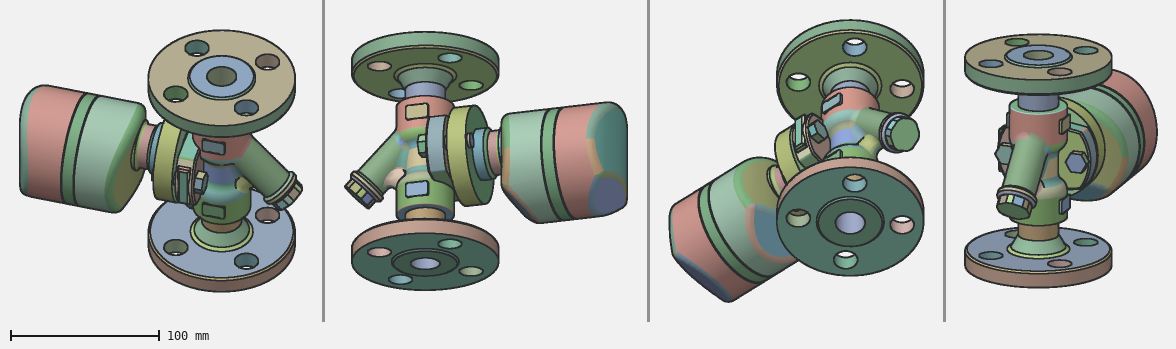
import cadquery as cq
import math


flange_diameter = 99.0
half_height = 75.0
raised_height = 1.4
raised_diameter = 43.0
raised_base_diameter = 45.5
flange_back_z = 62.3
flange_chamfer = 1.4
bolt_hole_diameter = 16.0
bolt_hole_spacing = 49.6
bore_diameter = 20.0
bore_depth = 35.2

hub_diameter = 42.2
hub_shoulder_diameter = 37.1
hub_shoulder_height = 1.8
hub_end_z = 52.2
pipe_diameter = 27.2
pipe_overlap = 2.0

body_diameter = 39.0
body_half_height = 39.7
body_edge_fillet = 0.5
waist_diameter = 27.0
waist_centre_z = -2.0
waist_half_height = 6.6
shoulder_height = 12.3
shoulder_hollow_share = 0.45
label_width = 15.6
label_height = 10.2
label_z = 28.3
label_face_y = 20.0
label_corner = 1.8

branch_tilt = math.radians(45)
branch_origin_z = 27.3
branch_diameter = 23.0
branch_root_fillet = 5.5
collar_diameter = 27.0
collar_start = 54.7
collar_length = 6.6
collar_chamfer = 2.0
cap_diameter = 23.0
cap_flats = 21.9
cap_reach_x = 56.3

plate_x = -22.7
plate_thickness = 12.7
plate_diameter = 67.0
plate_crown_z = 22.9
plate_corner_z = 20.1
plate_corner_fillet = 2.3
plate_edge_chamfer = 1.2
strip_width = 8.4
strip_height = 30.0
strip_face_y = 34.0
strip_chamfer = 1.4
strip_centre_x = -17.0
stud_diameter = 10.0
stud_spacing = 50.8
stud_start_x = -40.2
nut_flats = 13.0
nut_thickness = 5.7

disc_diameter = 67.0
disc_x = -38.3
disc_thickness = 13.3
boss_diameter = 35.0
boss_start_x = -46.0
stem_diameter = 30.0
stem_end_x = -48.0
stem_flare = 2.3

housing_x = -139.0
housing_length = 82.6
housing_diameter = 76.0
housing_axis_z = -13.9
housing_end_radius = 70.3
housing_bevel_start_z = -31.6
housing_fillet = 6.3
groove_offsets = (37.1, 46.0)
groove_width = 0.5
groove_depth = 0.4


def x_cylinder(diameter, start, end, y=0, z=0):
    """Cylinder along X between two X positions."""
    plane = cq.Workplane("YZ", origin=(start, y, z))
    return plane.circle(diameter / 2).extrude(end - start)


def make_pipe_end():
    """Upper flange with its raised face and tapered neck, down into the body."""
    face_z = half_height - raised_height
    pipe_start_z = body_half_height - pipe_overlap
    outline = [
        (0, pipe_start_z),
        (pipe_diameter / 2, pipe_start_z),
        (pipe_diameter / 2, hub_end_z),
        (hub_shoulder_diameter / 2, flange_back_z - hub_shoulder_height),
        (hub_diameter / 2, flange_back_z),
        (flange_diameter / 2 - flange_chamfer, flange_back_z),
        (flange_diameter / 2, flange_back_z + flange_chamfer),
        (flange_diameter / 2, face_z),
        (raised_base_diameter / 2, face_z),
        (raised_diameter / 2, half_height),
        (0, half_height),
    ]
    solid = cq.Workplane("XZ").polyline(outline).close().revolve(360, (0, 0), (0, 1))
    holes = (
        cq.Workplane("XY", origin=(0, 0, flange_back_z))
        .rect(bolt_hole_spacing, bolt_hole_spacing, forConstruction=True)
        .vertices()
        .circle(bolt_hole_diameter / 2)
        .extrude(half_height - flange_back_z)
    )
    return solid.cut(holes)


def make_body():
    """Waisted valve body with S-shaped shoulders, blended into the strainer branch."""
    body_r = body_diameter / 2
    waist_r = waist_diameter / 2
    waist_top = waist_centre_z + waist_half_height
    waist_bottom = waist_centre_z - waist_half_height
    hollow_height = shoulder_hollow_share * shoulder_height
    shoulder_r = waist_r + shoulder_hollow_share * (body_r - waist_r)
    barrel = (
        cq.Workplane("XZ")
        .moveTo(0, -body_half_height)
        .lineTo(body_r, -body_half_height)
        .lineTo(body_r, waist_bottom - shoulder_height)
        .tangentArcPoint((shoulder_r, waist_bottom - hollow_height), relative=False)
        .tangentArcPoint((waist_r, waist_bottom), relative=False)
        .lineTo(waist_r, waist_top)
        .tangentArcPoint((shoulder_r, waist_top + hollow_height), relative=False)
        .tangentArcPoint((body_r, waist_top + shoulder_height), relative=False)
        .lineTo(body_r, body_half_height)
        .lineTo(0, body_half_height)
        .close()
        .revolve(360, (0, 0), (0, 1))
        .faces("<Z or >Z")
        .edges()
        .fillet(body_edge_fillet)
    )
    branch = branch_plane(0).circle(branch_diameter / 2).extrude(collar_start)
    body = barrel.union(branch)
    root_edges = [edge for edge in body.edges().vals() if edge.geomType() == "BSPLINE"]
    return body.newObject(root_edges).fillet(branch_root_fillet)


def make_labels():
    """Raised rounded label pads on the -Y and +Y sides, near both ends of the body."""
    pads = cq.Workplane("XZ", origin=(0, label_face_y, 0))
    pads = pads.pushPoints([(0, label_z), (0, -label_z)])
    pads = pads.rect(label_width, label_height).extrude(2 * label_face_y)
    return pads.edges("|Y").fillet(label_corner)


def branch_plane(distance):
    """Work plane square to the branch axis at a distance along it."""
    direction = cq.Vector(math.cos(branch_tilt), 0, -math.sin(branch_tilt))
    origin = cq.Vector(0, 0, branch_origin_z) + direction * distance
    return cq.Workplane(cq.Plane(origin=origin, xDir=(0, 1, 0), normal=direction))


def hexagon_across_corners(flats):
    """Circumscribed diameter of a hexagon from its width across flats."""
    return flats / math.cos(math.radians(30))


def make_branch_end():
    """Chamfered collar and screw cap: a hexagon with its corners turned round."""
    collar = branch_plane(collar_start).circle(collar_diameter / 2).extrude(collar_length)
    collar = collar.edges().chamfer(collar_chamfer)
    cap_end = cap_reach_x / math.cos(branch_tilt) - cap_diameter / 2 * math.tan(branch_tilt)
    cap_length = cap_end - collar_start
    corners = hexagon_across_corners(cap_flats)
    hexagon = branch_plane(collar_start).transformed(rotate=(0, 0, 30))
    hexagon = hexagon.polygon(6, corners).extrude(cap_length)
    cap = branch_plane(collar_start).circle(cap_diameter / 2).extrude(cap_length)
    cap = cap.intersect(hexagon)
    return collar.union(cap)


def make_plate():
    """Round mounting plate with crowned top and bottom and a raised strip on its -Y side."""
    radius = plate_diameter / 2
    corner_y = math.sqrt(radius**2 - plate_corner_z**2)
    plate = (
        cq.Workplane("YZ", origin=(plate_x, 0, 0))
        .moveTo(-corner_y, -plate_corner_z)
        .threePointArc((0, -plate_crown_z), (corner_y, -plate_corner_z))
        .threePointArc((radius, 0), (corner_y, plate_corner_z))
        .threePointArc((0, plate_crown_z), (-corner_y, plate_corner_z))
        .threePointArc((-radius, 0), (-corner_y, -plate_corner_z))
        .close()
        .extrude(plate_thickness)
        .edges("|X")
        .fillet(plate_corner_fillet)
        .faces(">X")
        .chamfer(plate_edge_chamfer)
    )
    strip = cq.Workplane("XZ", origin=(strip_centre_x, 0, 0)).rect(strip_width, strip_height)
    strip = strip.extrude(strip_face_y).faces("<Y").edges().chamfer(strip_chamfer)
    return plate.union(strip)


def make_fasteners():
    """Two studs through the disc and plate, each with a hexagon nut behind the plate."""
    plate_back = plate_x + plate_thickness
    fasteners = cq.Workplane("XY")
    for y in (-stud_spacing / 2, stud_spacing / 2):
        nut = cq.Workplane("YZ", origin=(plate_back, y, 0))
        nut = nut.polygon(6, hexagon_across_corners(nut_flats)).extrude(nut_thickness)
        stud = x_cylinder(stud_diameter, stud_start_x, plate_back, y)
        fasteners = fasteners.union(stud).union(nut)
    return fasteners


def make_coupling():
    """Large disc, its boss, and the flared stem that carries the actuator."""
    housing_end = housing_x + housing_length
    stem_r = stem_diameter / 2
    boss_r = boss_diameter / 2
    disc = x_cylinder(disc_diameter, disc_x, disc_x + disc_thickness)
    stem = (
        cq.Workplane("XY")
        .moveTo(housing_end - housing_fillet, 0)
        .lineTo(housing_end - housing_fillet, stem_r + stem_flare)
        .lineTo(housing_end, stem_r + stem_flare)
        .radiusArc((housing_end + stem_flare, stem_r), -stem_flare)
        .lineTo(stem_end_x, stem_r)
        .lineTo(boss_start_x, boss_r)
        .lineTo(plate_x, boss_r)
        .lineTo(plate_x, 0)
        .close()
        .revolve(360, (0, 0), (1, 0))
    )
    return disc.union(stem)


def make_housing():
    """Actuator housing: cylinder with bowed ends, bevelled below, rounded and grooved."""
    radius = housing_diameter / 2
    bottom_z = housing_axis_z - radius
    top_z = housing_axis_z + radius
    bevel = housing_bevel_start_z - bottom_z
    centre_x = housing_x + housing_length / 2
    profile = (
        cq.Workplane("XZ", origin=(0, radius, 0))
        .moveTo(housing_x, top_z)
        .lineTo(housing_x, housing_bevel_start_z)
        .lineTo(housing_x + bevel, bottom_z)
        .lineTo(housing_x + housing_length - bevel, bottom_z)
        .lineTo(housing_x + housing_length, housing_bevel_start_z)
        .lineTo(housing_x + housing_length, top_z)
        .close()
        .extrude(housing_diameter)
    )
    bow_offset = housing_end_radius - housing_length / 2
    barrel = x_cylinder(housing_diameter, housing_x, housing_x + housing_length, 0, housing_axis_z)
    housing = barrel.intersect(profile)
    for x in (centre_x - bow_offset, centre_x + bow_offset):
        bow = cq.Workplane("XY", origin=(x, 0, bottom_z)).circle(housing_end_radius)
        housing = housing.intersect(bow.extrude(housing_diameter))
    housing = housing.edges().fillet(housing_fillet)
    for offset in groove_offsets:
        start = housing_x + offset
        ring = x_cylinder(housing_diameter + 2, start, start + groove_width, 0, housing_axis_z)
        core_diameter = housing_diameter - 2 * groove_depth
        core = x_cylinder(core_diameter, start, start + groove_width, 0, housing_axis_z)
        housing = housing.cut(ring.cut(core))
    return housing


def make_bores():
    """Blind flow bores entering from both flange faces."""
    bore = cq.Workplane("XY", origin=(0, 0, half_height - bore_depth))
    bore = bore.circle(bore_diameter / 2).extrude(bore_depth)
    return bore.union(bore.mirror("XY"))


pipe_end = make_pipe_end()
result = make_body()
for feature in (
    make_labels(),
    make_branch_end(),
    pipe_end,
    pipe_end.mirror("XY"),
    make_plate(),
    make_fasteners(),
    make_coupling(),
    make_housing(),
):
    result = result.union(feature)
result = result.cut(make_bores())